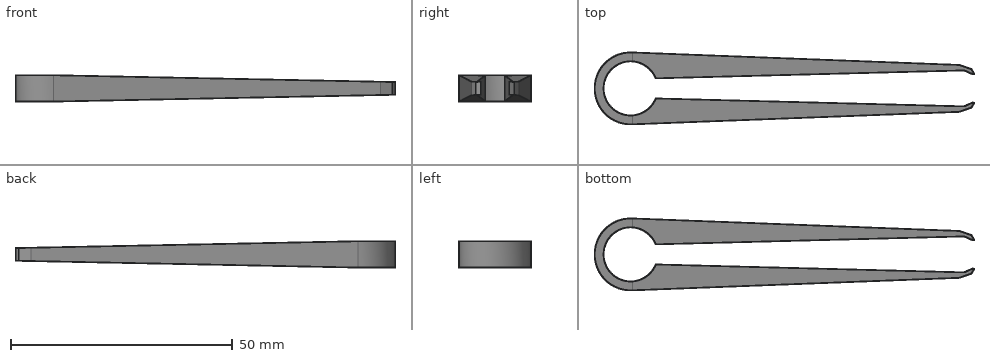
import cadquery as cq
import math

length = 85.8
ring_height = 6.0

ring_radius = 8.15
bore_radius = 6.1
ring_x = ring_radius

slot_start_x = ring_x + 5.7
slot_half_start = math.sqrt(bore_radius**2 - (slot_start_x - ring_x) ** 2)
inner_bend = (83.5, 4.0)
outer_bend = (82.4, 5.3)

outer_knee = (85.1, 4.4)
tip_point = (length, 3.3)
inner_tip = (85.4, 3.2)

tip_height = 2.9


def tangent_point():
    """Point where the arm's straight outer side touches the ring."""
    dx = outer_bend[0] - ring_x
    dy = outer_bend[1]
    angle = math.atan2(dy, dx) + math.acos(ring_radius / math.hypot(dx, dy))
    return ring_x + ring_radius * math.cos(angle), ring_radius * math.sin(angle)


def mirrored(point):
    return point[0], -point[1]


def plan_profile():
    """Closed outline of the ring and both arms, extruded to full height."""
    tangent = tangent_point()
    upper_arm = [
        outer_bend,
        outer_knee,
        tip_point,
        inner_tip,
        inner_bend,
        (slot_start_x, slot_half_start),
    ]
    outline = cq.Workplane("XY").moveTo(*mirrored(tangent))
    outline = outline.threePointArc((0, 0), tangent)
    for point in upper_arm:
        outline = outline.lineTo(*point)
    outline = outline.threePointArc(
        (ring_x - bore_radius, 0), mirrored(upper_arm[-1])
    )
    for point in reversed(upper_arm[:-1]):
        outline = outline.lineTo(*mirrored(point))
    return outline.close().extrude(ring_height / 2, both=True)


def side_envelope():
    """Side shape: level over the ring, then tapering evenly to the tips."""
    taper_start_x = tangent_point()[0]
    points = [
        (0, -ring_height / 2),
        (taper_start_x, -ring_height / 2),
        (length, -tip_height / 2),
        (length, tip_height / 2),
        (taper_start_x, ring_height / 2),
        (0, ring_height / 2),
    ]
    return cq.Workplane("XZ").polyline(points).close().extrude(ring_radius, both=True)


result = plan_profile().intersect(side_envelope())